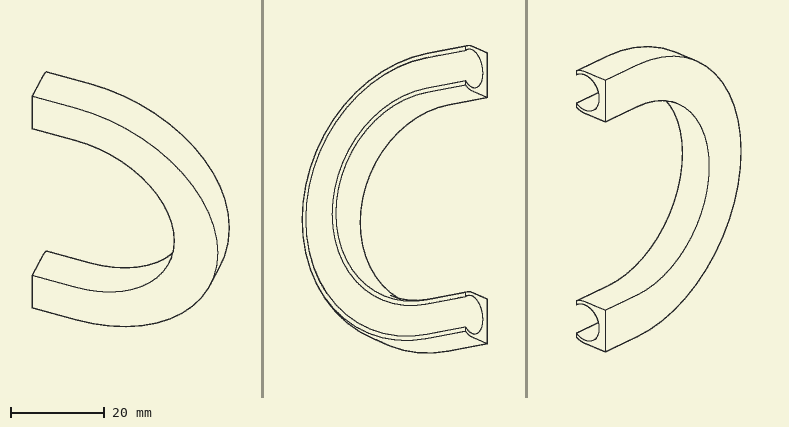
import cadquery as cq
import math

bend_radius = 27.5
bend_angle = 180
leg_length = 10.0
section_width = 10.0
channel_radius = 4.2
back_depth = 6.0
front_depth = 2.5

shoulder_radius = section_width / 2


def half_chord(radius):
    """Half-width of a circle about the channel centre where the front face cuts it."""
    return math.sqrt(radius**2 - front_depth**2)


def draw_section(center_z):
    """Channel profile across the legs at X = 0, centred at the given height.

    Local x runs along +Z, local y along +Y and the normal along -X.
    """
    plane = cq.Plane(origin=(0, 0, 0), xDir=(0, 0, 1), normal=(-1, 0, 0))
    lip_outer = half_chord(shoulder_radius)
    lip_inner = half_chord(channel_radius)

    middle_angle = math.asin(front_depth / shoulder_radius) / 2
    middle_across = shoulder_radius * math.cos(middle_angle)
    middle_depth = shoulder_radius * math.sin(middle_angle)

    def place(across, depth):
        return (center_z + across, depth)

    return (
        cq.Workplane(plane)
        .moveTo(*place(-shoulder_radius, -back_depth))
        .lineTo(*place(shoulder_radius, -back_depth))
        .lineTo(*place(shoulder_radius, 0))
        .threePointArc(place(middle_across, middle_depth), place(lip_outer, front_depth))
        .lineTo(*place(lip_inner, front_depth))
        .threePointArc(place(0, -channel_radius), place(-lip_inner, front_depth))
        .lineTo(*place(-lip_outer, front_depth))
        .threePointArc(place(-middle_across, middle_depth), place(-shoulder_radius, 0))
        .close()
    )


def make_leg(center_z):
    """Straight channel running from the end of the bend toward -X."""
    return draw_section(center_z).extrude(leg_length)


def make_bend():
    """Half ring on the +X side, from the upper leg round to the lower one."""
    return draw_section(bend_radius).revolve(bend_angle, (0, 0, 0), (0, 1, 0))


result = make_bend()
for leg_center in (bend_radius, -bend_radius):
    result = result.union(make_leg(leg_center))